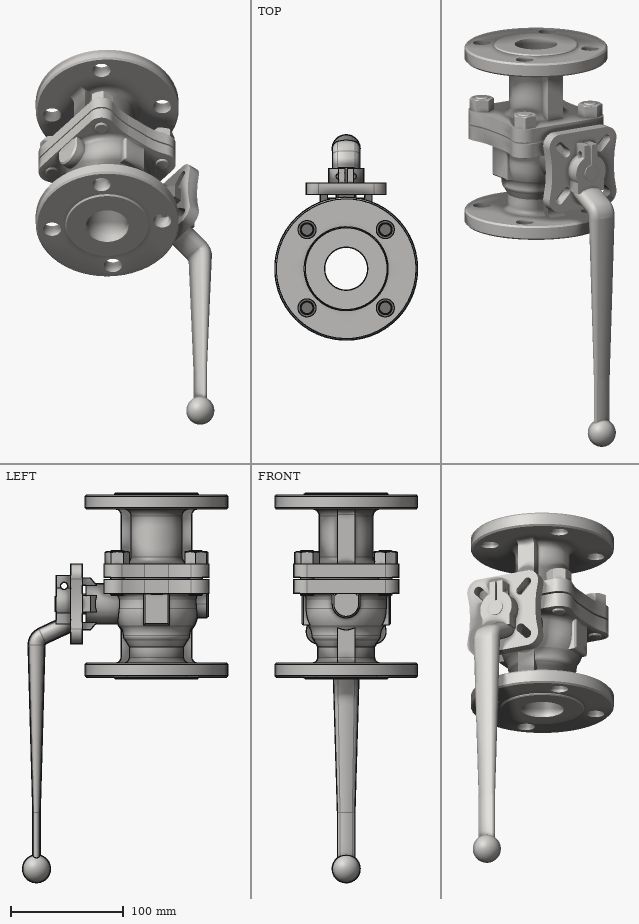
import cadquery as cq
import math


FACE_TO_FACE = 165.0
TOP_FACE_Z = 98.4
BOTTOM_FACE_Z = TOP_FACE_Z - FACE_TO_FACE
FLANGE_RADIUS = 63.5
FLANGE_THICKNESS = 12.7
FLANGE_CHAMFER = 1.5
RAISED_FACE_RADIUS = 37.3
RAISED_FACE_HEIGHT = 1.5
RAISED_FACE_CHAMFER = 1.0
BORE_DIAMETER = 38.0
BOLT_OFFSET = 34.75
FLANGE_HOLE_DIAMETER = 16.0
UPPER_FLANGE_Z = TOP_FACE_Z - RAISED_FACE_HEIGHT - FLANGE_THICKNESS
LOWER_FLANGE_Z = BOTTOM_FACE_Z + RAISED_FACE_HEIGHT + FLANGE_THICKNESS

UPPER_PLATE_BOTTOM_Z = 23.6
UPPER_PLATE_TOP_Z = 35.6
LOWER_PLATE_BOTTOM_Z = 9.4
LOWER_PLATE_TOP_Z = 21.8
PLATE_CORNER_RADIUS = 12.0
PLATE_WAIST_FLAT = 10.5
PLATE_WAIST_ANGLE = 20.0

STUD_DIAMETER = 12.0
STUD_TOP_Z = 47.4
STUD_BOTTOM_Z = 7.5
STUD_CHAMFER = 0.8
NUT_ACROSS_CORNERS = 22.0
NUT_HEIGHT = 10.8
NUT_CHAMFER = 1.5

UPPER_NECK_RADIUS = 24.0
LOWER_NECK_RADIUS = 25.35
NECK_FILLET = 6.0
LOWER_NECK_FILLET = 5.0
HOUSING_RADIUS = 37.4
HOUSING_FILLET = 5.0
HOUSING_STRAIGHT_BOTTOM_Z = -4.2
HOUSING_SHOULDER = (33.5, -19.8)
SEAT_RADIUS = 30.5
SEAT_Z = -28.0
SEAT_EDGE = (28.8, -32.0)
LOWER_NECK_TOP_Z = -38.0
RIB_WIDTH = 15.8
RIB_REACH = 31.5
RIB_FILLET = 5.0
LOWER_RIB_TOP_Z = -20.0

FRONT_BOSS_RADIUS = 12.4
FRONT_BOSS_REACH = 46.0
SIDE_PAD_WIDTH = 23.0
SIDE_PAD_REACH = 39.3
SIDE_PAD_BOTTOM_Z = -18.8
PAD_FILLET = 1.4

STEM_BOSS_RADIUS = 18.0
STEM_BOSS_END_Y = 62.6
MOUNT_PLATE_BACK_Y = 65.8
MOUNT_PLATE_FRONT_Y = 76.2
MOUNT_SLOT_OUTER = 24.6
MOUNT_CORNER_RADIUS = 10.9
MOUNT_SLOT_WIDTH = 8.0
MOUNT_SLOT_INNER = 17.7
MOUNT_WAIST_ANGLE = 13.0
STEM_COLLAR_RADIUS = 8.9
STEM_DIAMETER = 13.5
STEM_END_Y = 90.0
TAB_REACH = 23.1
TAB_INSIDE = 16.4
TAB_ROOT = 17.0
TAB_START_Y = 53.4
TAB_SHOULDER_Y = 58.7
TAB_WIDTH = 14.6

HUB_RADIUS = 15.7
HUB_FRONT_Y = 89.0
HUB_SKIRT_HALF_WIDTH = 13.6
HUB_SKIRT_BOTTOM_Z = -17.8
CLAMP_EAR_WIDTH = 13.4
CLAMP_EAR_TOP_Z = 25.3
CLAMP_SLIT = 2.2
CLAMP_HOLE_DIAMETER = 6.2
CLAMP_HOLE_Y = 82.0
CLAMP_HOLE_Z = 16.0
BALL_RADIUS = 12.5
BALL_Y = 106.5
BALL_Z = -235.1
LEVER_TOP_WIDTH = 24.6
LEVER_TOP_DEPTH = 15.3
LEVER_TOP_FACE = 15.8
LEVER_TOP_BULGE = 1.2
LEVER_END_WIDTH = 15.8
LEVER_END_DEPTH = 6.8
LEVER_END_FACE = 11.0
LEVER_END_BULGE = 0.9
LEVER_TAPER_END_Z = -185.0
BEND_START_Z = -36.5
BEND_RADIUS = 8.8
BEND_ANGLE = 65.0
LEVER_ARM_LENGTH = 40.0

CORNERS = [(1, 1), (-1, 1), (-1, -1), (1, -1)]


def cylinder_z(radius, z_low, z_high):
    return cq.Workplane("XY").workplane(offset=z_low).circle(radius).extrude(z_high - z_low)


def cylinder_y(radius, y_low, y_high):
    return cq.Workplane("XZ").workplane(offset=-y_low).circle(radius).extrude(y_low - y_high)


def box_between(x_range, y_range, z_range):
    sizes = [high - low for low, high in (x_range, y_range, z_range)]
    return cq.Workplane("XY").box(*sizes, centered=False).translate((x_range[0], y_range[0], z_range[0]))


def waisted_square(workplane, corner_offset, corner_radius, waist_angle, waist_flat):
    """Rounded square whose left and right sides dip inward along tangent arcs."""
    sine = math.sin(math.radians(waist_angle))
    cosine = math.cos(math.radians(waist_angle))
    half = corner_offset + corner_radius
    tangent = (corner_offset + corner_radius * cosine, corner_offset - corner_radius * sine)
    arc_radius = (tangent[1] - waist_flat) / sine
    waist_x = tangent[0] - arc_radius * (1 - cosine)
    half_angle = math.radians(waist_angle / 2)
    arc_middle = (
        waist_x + arc_radius * (1 - math.cos(half_angle)),
        waist_flat + arc_radius * math.sin(half_angle),
    )
    bisector = math.radians((90 - waist_angle) / 2)
    corner_middle = (
        corner_offset + corner_radius * math.cos(bisector),
        corner_offset + corner_radius * math.sin(bisector),
    )

    def mirrored(point, x_sign, y_sign):
        return (x_sign * point[0], y_sign * point[1])

    sketch = workplane.moveTo(-corner_offset, half).lineTo(corner_offset, half)
    sketch = sketch.threePointArc(corner_middle, tangent)
    sketch = sketch.threePointArc(arc_middle, (waist_x, waist_flat))
    if waist_flat > 0:
        sketch = sketch.lineTo(waist_x, -waist_flat)
    sketch = sketch.threePointArc(mirrored(arc_middle, 1, -1), mirrored(tangent, 1, -1))
    sketch = sketch.threePointArc(mirrored(corner_middle, 1, -1), (corner_offset, -half))
    sketch = sketch.lineTo(-corner_offset, -half)
    sketch = sketch.threePointArc(mirrored(corner_middle, -1, -1), mirrored(tangent, -1, -1))
    sketch = sketch.threePointArc(mirrored(arc_middle, -1, -1), (-waist_x, -waist_flat))
    if waist_flat > 0:
        sketch = sketch.lineTo(-waist_x, waist_flat)
    sketch = sketch.threePointArc(mirrored(arc_middle, -1, 1), mirrored(tangent, -1, 1))
    return sketch.threePointArc(mirrored(corner_middle, -1, 1), (-corner_offset, half)).close()


def end_flange(face_z, inward):
    """Drilled flange with a raised face at face_z; inward is the Z sign toward the valve centre."""
    disc = cylinder_z(FLANGE_RADIUS, 0, FLANGE_THICKNESS).edges().chamfer(FLANGE_CHAMFER)
    disc = disc.translate((0, 0, -RAISED_FACE_HEIGHT - FLANGE_THICKNESS))
    raised_face = cylinder_z(RAISED_FACE_RADIUS, -RAISED_FACE_HEIGHT, 0)
    flange = disc.union(raised_face.faces(">Z").edges().chamfer(RAISED_FACE_CHAMFER))
    for x_sign, y_sign in CORNERS:
        hole = cylinder_z(FLANGE_HOLE_DIAMETER / 2, -2 * FLANGE_THICKNESS, 0)
        flange = flange.cut(hole.translate((x_sign * BOLT_OFFSET, y_sign * BOLT_OFFSET, 0)))
    if inward > 0:
        flange = flange.mirror("XY")
    return flange.translate((0, 0, face_z))


def fillet_middle(radius):
    """Distance from the centre of a quarter-round to its midpoint, along either axis."""
    return radius * math.sqrt(0.5)


def upper_neck():
    outer = UPPER_NECK_RADIUS + NECK_FILLET
    middle = outer - fillet_middle(NECK_FILLET)
    low = UPPER_PLATE_TOP_Z + NECK_FILLET
    high = UPPER_FLANGE_Z - NECK_FILLET
    return (
        cq.Workplane("XZ")
        .moveTo(0, UPPER_PLATE_TOP_Z)
        .lineTo(outer, UPPER_PLATE_TOP_Z)
        .threePointArc((middle, low - fillet_middle(NECK_FILLET)), (UPPER_NECK_RADIUS, low))
        .lineTo(UPPER_NECK_RADIUS, high)
        .threePointArc((middle, high + fillet_middle(NECK_FILLET)), (outer, UPPER_FLANGE_Z))
        .lineTo(0, UPPER_FLANGE_Z)
        .close()
        .revolve(360, (0, 0, 0), (0, 1, 0))
    )


def housing_core():
    """Round ball housing, coved seat step and lower neck, with a seal disc between the joint plates."""
    top_outer = HOUSING_RADIUS + HOUSING_FILLET
    top_fillet_z = LOWER_PLATE_BOTTOM_Z - HOUSING_FILLET
    top_middle = (top_outer - fillet_middle(HOUSING_FILLET), top_fillet_z + fillet_middle(HOUSING_FILLET))
    seat_step = HOUSING_SHOULDER[0] - SEAT_RADIUS
    seat_drop = HOUSING_SHOULDER[1] - SEAT_Z
    seat_cove_radius = (seat_step**2 + seat_drop**2) / (2 * seat_step)
    seat_half_angle = math.asin(seat_drop / seat_cove_radius) / 2
    seat_cove_middle = (
        SEAT_RADIUS + seat_cove_radius * (1 - math.cos(seat_half_angle)),
        SEAT_Z + seat_cove_radius * math.sin(seat_half_angle),
    )
    neck_outer = LOWER_NECK_RADIUS + LOWER_NECK_FILLET
    neck_fillet_z = LOWER_FLANGE_Z + LOWER_NECK_FILLET
    neck_middle = (
        neck_outer - fillet_middle(LOWER_NECK_FILLET),
        neck_fillet_z - fillet_middle(LOWER_NECK_FILLET),
    )
    return (
        cq.Workplane("XZ")
        .moveTo(0, UPPER_PLATE_BOTTOM_Z)
        .lineTo(HOUSING_RADIUS, UPPER_PLATE_BOTTOM_Z)
        .lineTo(HOUSING_RADIUS, LOWER_PLATE_BOTTOM_Z)
        .lineTo(top_outer, LOWER_PLATE_BOTTOM_Z)
        .threePointArc(top_middle, (HOUSING_RADIUS, top_fillet_z))
        .lineTo(HOUSING_RADIUS, HOUSING_STRAIGHT_BOTTOM_Z)
        .tangentArcPoint(HOUSING_SHOULDER, relative=False)
        .threePointArc(seat_cove_middle, (SEAT_RADIUS, SEAT_Z))
        .tangentArcPoint(SEAT_EDGE, relative=False)
        .lineTo(LOWER_NECK_RADIUS, LOWER_NECK_TOP_Z)
        .lineTo(LOWER_NECK_RADIUS, neck_fillet_z)
        .threePointArc(neck_middle, (neck_outer, LOWER_FLANGE_Z))
        .lineTo(0, LOWER_FLANGE_Z)
        .close()
        .revolve(360, (0, 0, 0), (0, 1, 0))
    )


def neck_rib(start_z, flange_z):
    """Flat rib across the flow axis, flaring in Y where it meets the flange."""
    toward_flange = math.copysign(1, flange_z - start_z)
    flare_z = flange_z - toward_flange * RIB_FILLET
    flare_reach = RIB_REACH + RIB_FILLET
    middle_y = flare_reach - fillet_middle(RIB_FILLET)
    middle_z = flare_z + toward_flange * fillet_middle(RIB_FILLET)
    return (
        cq.Workplane("YZ")
        .moveTo(-RIB_REACH, start_z)
        .lineTo(RIB_REACH, start_z)
        .lineTo(RIB_REACH, flare_z)
        .threePointArc((middle_y, middle_z), (flare_reach, flange_z))
        .lineTo(-flare_reach, flange_z)
        .threePointArc((-middle_y, middle_z), (-RIB_REACH, flare_z))
        .close()
        .extrude(RIB_WIDTH / 2, both=True)
    )


def joint_plate(z_low, z_high):
    outline = waisted_square(
        cq.Workplane("XY").workplane(offset=z_low),
        BOLT_OFFSET,
        PLATE_CORNER_RADIUS,
        PLATE_WAIST_ANGLE,
        PLATE_WAIST_FLAT,
    )
    return outline.extrude(z_high - z_low)


def stud_and_nut():
    """One stud with its nut, at the corner toward -X and -Y."""
    stud = cylinder_z(STUD_DIAMETER / 2, STUD_BOTTOM_Z, STUD_TOP_Z).edges().chamfer(STUD_CHAMFER)
    nut = (
        cq.Workplane("XY")
        .workplane(offset=UPPER_PLATE_TOP_Z)
        .polygon(6, NUT_ACROSS_CORNERS)
        .extrude(NUT_HEIGHT)
    )
    nut_round = cylinder_z(NUT_ACROSS_CORNERS / 2, UPPER_PLATE_TOP_Z, UPPER_PLATE_TOP_Z + NUT_HEIGHT)
    nut = nut.intersect(nut_round.faces(">Z").edges().chamfer(NUT_CHAMFER / 2, NUT_CHAMFER))
    return stud.union(nut).translate((-BOLT_OFFSET, -BOLT_OFFSET, 0))


def front_boss():
    """Tongue-shaped boss on the -Y side, rounded below."""
    boss = cylinder_y(FRONT_BOSS_RADIUS, -FRONT_BOSS_REACH, 0)
    boss = boss.union(
        box_between(
            (-FRONT_BOSS_RADIUS, FRONT_BOSS_RADIUS),
            (-FRONT_BOSS_REACH, 0),
            (0, LOWER_PLATE_BOTTOM_Z),
        )
    )
    return boss.faces("<Y").edges("not >Z").chamfer(PAD_FILLET)


def side_pads():
    pads = box_between(
        (-SIDE_PAD_REACH, SIDE_PAD_REACH),
        (-SIDE_PAD_WIDTH / 2, SIDE_PAD_WIDTH / 2),
        (SIDE_PAD_BOTTOM_Z, LOWER_PLATE_BOTTOM_Z),
    )
    return pads.faces("<X or >X").edges("not >Z").chamfer(PAD_FILLET)


def mount_plate():
    """Actuator plate with a diagonal bolt slot in each corner."""
    slot_centre = (MOUNT_SLOT_OUTER + MOUNT_SLOT_INNER) / 2
    slot_length = math.sqrt(2) * (MOUNT_SLOT_OUTER - MOUNT_SLOT_INNER) + MOUNT_SLOT_WIDTH
    plate = waisted_square(
        cq.Workplane("XZ").workplane(offset=-MOUNT_PLATE_BACK_Y),
        MOUNT_SLOT_OUTER,
        MOUNT_CORNER_RADIUS,
        MOUNT_WAIST_ANGLE,
        0,
    ).extrude(MOUNT_PLATE_BACK_Y - MOUNT_PLATE_FRONT_Y)
    for x_sign, z_sign in CORNERS:
        slot = (
            cq.Workplane("XZ")
            .workplane(offset=-MOUNT_PLATE_BACK_Y)
            .center(x_sign * slot_centre, z_sign * slot_centre)
            .slot2D(slot_length, MOUNT_SLOT_WIDTH, 45 * x_sign * z_sign)
            .extrude(MOUNT_PLATE_BACK_Y - MOUNT_PLATE_FRONT_Y)
        )
        plate = plate.cut(slot)
    return plate


def mount_tabs():
    """Four tabs around the stem boss that carry the mounting plate clear of the boss end."""
    full_y = (TAB_START_Y, MOUNT_PLATE_BACK_Y)
    reach = (-TAB_REACH, TAB_REACH)
    tab_x = box_between(reach, full_y, (-TAB_WIDTH / 2, TAB_WIDTH / 2))
    tabs = tab_x.union(tab_x.rotate((0, 0, 0), (0, 1, 0), 90))
    envelope = (
        cq.Workplane("XZ")
        .workplane(offset=-TAB_START_Y)
        .rect(2 * TAB_ROOT, 2 * TAB_ROOT)
        .workplane(offset=TAB_START_Y - TAB_SHOULDER_Y)
        .rect(2 * TAB_REACH, 2 * TAB_REACH)
        .loft(ruled=True)
    )
    envelope = envelope.union(box_between(reach, (TAB_SHOULDER_Y, MOUNT_PLATE_BACK_Y), reach))
    inside = (-TAB_INSIDE, TAB_INSIDE)
    opening = box_between(inside, (STEM_BOSS_END_Y, MOUNT_PLATE_BACK_Y), inside)
    return tabs.intersect(envelope).cut(opening)


def make_valve():
    valve = housing_core()
    valve = valve.union(upper_neck())
    valve = valve.union(joint_plate(UPPER_PLATE_BOTTOM_Z, UPPER_PLATE_TOP_Z))
    valve = valve.union(joint_plate(LOWER_PLATE_BOTTOM_Z, LOWER_PLATE_TOP_Z))
    valve = valve.union(neck_rib(UPPER_PLATE_TOP_Z, UPPER_FLANGE_Z))
    valve = valve.union(neck_rib(LOWER_RIB_TOP_Z, LOWER_FLANGE_Z))
    valve = valve.union(end_flange(TOP_FACE_Z, -1))
    valve = valve.union(end_flange(BOTTOM_FACE_Z, 1))
    valve = valve.union(front_boss())
    valve = valve.union(side_pads())
    valve = valve.union(cylinder_y(STEM_BOSS_RADIUS, 0, STEM_BOSS_END_Y))
    valve = valve.union(mount_tabs())
    valve = valve.union(mount_plate())
    valve = valve.union(cylinder_y(STEM_COLLAR_RADIUS, STEM_BOSS_END_Y, MOUNT_PLATE_BACK_Y))
    valve = valve.union(cylinder_y(STEM_DIAMETER / 2, MOUNT_PLATE_BACK_Y, STEM_END_Y))
    for turn in range(len(CORNERS)):
        valve = valve.union(stud_and_nut().rotate((0, 0, 0), (0, 0, 1), 90 * turn))
    return valve.cut(cylinder_z(BORE_DIAMETER / 2, BOTTOM_FACE_Z, TOP_FACE_Z))


def lever_section(z, width, depth, face_width, face_bulge):
    """Lens-like outline: gently crowned front and back faces joined by rounder sides."""
    edge_x = face_width / 2
    edge_y = depth / 2 - face_bulge
    return (
        cq.Workplane("XY", origin=(0, BALL_Y, z))
        .moveTo(-edge_x, -edge_y)
        .threePointArc((0, -depth / 2), (edge_x, -edge_y))
        .threePointArc((width / 2, 0), (edge_x, edge_y))
        .threePointArc((0, depth / 2), (-edge_x, edge_y))
        .threePointArc((-width / 2, 0), (-edge_x, -edge_y))
        .close()
    )


def lever():
    top_size = (LEVER_TOP_WIDTH, LEVER_TOP_DEPTH, LEVER_TOP_FACE, LEVER_TOP_BULGE)
    end_size = (LEVER_END_WIDTH, LEVER_END_DEPTH, LEVER_END_FACE, LEVER_END_BULGE)
    outlines = [
        lever_section(LEVER_TAPER_END_Z, *end_size).val(),
        lever_section(BEND_START_Z, *top_size).val(),
    ]
    tapered = cq.Workplane(cq.Solid.makeLoft(outlines, True))
    straight = lever_section(LEVER_TAPER_END_Z, *end_size).extrude(BALL_Z - LEVER_TAPER_END_Z)

    bend_start = (0, -BEND_RADIUS, 0)
    bend_end = (1, -BEND_RADIUS, 0)
    bend = lever_section(BEND_START_Z, *top_size).revolve(BEND_ANGLE, bend_start, bend_end)
    pivot = (0, BALL_Y - BEND_RADIUS, BEND_START_Z)
    pivot_axis_end = (1, BALL_Y - BEND_RADIUS, BEND_START_Z)
    arm = lever_section(BEND_START_Z, *top_size).extrude(LEVER_ARM_LENGTH)
    arm = arm.rotate(pivot, pivot_axis_end, BEND_ANGLE)

    ball = cq.Workplane("XY").sphere(BALL_RADIUS).translate((0, BALL_Y, BALL_Z))
    return tapered.union(straight).union(bend).union(arm).union(ball)


def make_handle():
    hub_y = (MOUNT_PLATE_FRONT_Y, HUB_FRONT_Y)
    hub = cylinder_y(HUB_RADIUS, *hub_y)
    ear_x = (-CLAMP_EAR_WIDTH / 2, CLAMP_EAR_WIDTH / 2)
    hub = hub.union(box_between(ear_x, hub_y, (0, CLAMP_EAR_TOP_Z)))
    skirt_x = (-HUB_SKIRT_HALF_WIDTH, HUB_SKIRT_HALF_WIDTH)
    hub = hub.union(box_between(skirt_x, hub_y, (HUB_SKIRT_BOTTOM_Z, 0)))

    handle = hub.union(lever())
    clearance = (-2 * FLANGE_RADIUS, 2 * FLANGE_RADIUS)
    handle = handle.cut(box_between(clearance, (0, MOUNT_PLATE_FRONT_Y), clearance))
    handle = handle.cut(cylinder_y(STEM_DIAMETER / 2, *hub_y))
    slit_x = (-CLAMP_SLIT / 2, CLAMP_SLIT / 2)
    handle = handle.cut(box_between(slit_x, hub_y, (0, CLAMP_EAR_TOP_Z)))
    clamp_hole = (
        cq.Workplane("YZ")
        .center(CLAMP_HOLE_Y, CLAMP_HOLE_Z)
        .circle(CLAMP_HOLE_DIAMETER / 2)
        .extrude(HUB_RADIUS, both=True)
    )
    return handle.cut(clamp_hole)


valve = make_valve()
handle = make_handle()

result = cq.Compound.makeCompound([valve.val(), handle.val()])